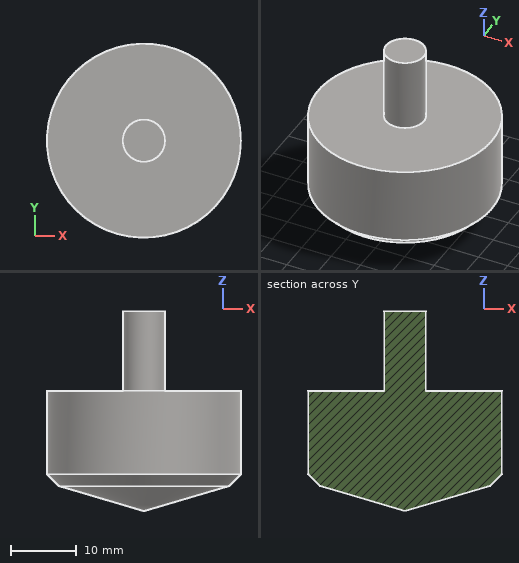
import cadquery as cq

total_height = 30.4
body_diameter = 29.5
stem_diameter = 6.4
stem_height = 12.13
bevel_size = 1.75
tip_height = 3.83

body_radius = body_diameter / 2
stem_radius = stem_diameter / 2
tip_base_radius = body_radius - bevel_size
body_bottom = tip_height + bevel_size
body_top = total_height - stem_height

half_section = (
    cq.Workplane("XZ")
    .moveTo(0, 0)
    .lineTo(tip_base_radius, tip_height)
    .lineTo(body_radius, body_bottom)
    .lineTo(body_radius, body_top)
    .lineTo(stem_radius, body_top)
    .lineTo(stem_radius, total_height)
    .lineTo(0, total_height)
    .close()
)

result = half_section.revolve(360, (0, 0, 0), (0, 1, 0))